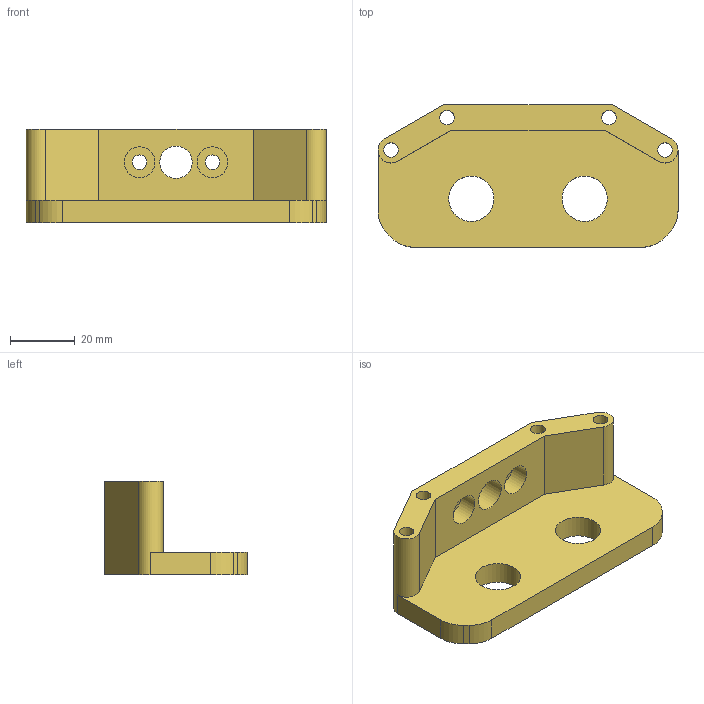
import cadquery as cq
import math


base_thickness = 7.0
front_edge_y = -40.0
corner_chamfer_length = 10.0
corner_radius = 10.0
large_hole_diameter = 14.0
large_hole_spacing = 35.0
large_hole_y = -25.0

total_height = 29.0
wall_thickness = 8.0
bend_x = 25.0
wing_length = 20.0
wing_angle = math.radians(30.0)
pin_hole_diameter = 4.5

wall_hole_z = 18.75
center_hole_diameter = 10.0
screw_spacing = 22.5
screw_hole_diameter = 4.5
counterbore_diameter = 9.5
counterbore_depth = 6.0

half_thickness = wall_thickness / 2
tip_x = bend_x + wing_length * math.cos(wing_angle)
tip_y = -wing_length * math.sin(wing_angle)
side_x = tip_x + half_thickness
miter_offset = half_thickness * math.tan(wing_angle / 2)
normal_x = half_thickness * math.sin(wing_angle)
normal_y = half_thickness * math.cos(wing_angle)
outer_bend_x = bend_x + miter_offset
inner_bend_x = bend_x - miter_offset
corner_chamfer = corner_chamfer_length / math.sqrt(2)


def make_wall():
    """Bent wall of constant thickness with fully rounded wing ends."""
    end_x = tip_x + half_thickness * math.cos(wing_angle)
    end_y = tip_y - half_thickness * math.sin(wing_angle)
    return (
        cq.Workplane("XY")
        .moveTo(-outer_bend_x, half_thickness)
        .lineTo(outer_bend_x, half_thickness)
        .lineTo(tip_x + normal_x, tip_y + normal_y)
        .threePointArc((end_x, end_y), (tip_x - normal_x, tip_y - normal_y))
        .lineTo(inner_bend_x, -half_thickness)
        .lineTo(-inner_bend_x, -half_thickness)
        .lineTo(-tip_x + normal_x, tip_y - normal_y)
        .threePointArc((-end_x, end_y), (-tip_x - normal_x, tip_y + normal_y))
        .close()
        .extrude(total_height)
    )


def make_base():
    """Plate reaching forward from the wall centreline, with rounded-off chamfers at the front corners."""
    plate = (
        cq.Workplane("XY")
        .polyline([
            (-bend_x, 0),
            (bend_x, 0),
            (tip_x, tip_y),
            (side_x, tip_y),
            (side_x, front_edge_y + corner_chamfer),
            (side_x - corner_chamfer, front_edge_y),
            (-side_x + corner_chamfer, front_edge_y),
            (-side_x, front_edge_y + corner_chamfer),
            (-side_x, tip_y),
            (-tip_x, tip_y),
        ])
        .close()
        .extrude(base_thickness)
    )
    selection_margin = 1.0
    front_corners = cq.selectors.BoxSelector(
        (-side_x - selection_margin, front_edge_y - selection_margin, -selection_margin),
        (
            side_x + selection_margin,
            front_edge_y + corner_chamfer + selection_margin,
            base_thickness + selection_margin,
        ),
    )
    return plate.edges("|Z").edges(front_corners).fillet(corner_radius)


def vertical_holes(points, diameter):
    """Cutters running along Z through the full height."""
    return cq.Workplane("XY").pushPoints(points).circle(diameter / 2).extrude(total_height)


def wall_holes(x_positions, diameter, depth):
    """Cutters entering the wall from its front face, running toward +Y."""
    points = [(x, wall_hole_z) for x in x_positions]
    return (
        cq.Workplane("XZ", origin=(0, -half_thickness, 0))
        .pushPoints(points)
        .circle(diameter / 2)
        .extrude(-depth)
    )


large_hole_points = [(side * large_hole_spacing / 2, large_hole_y) for side in (-1, 1)]
pin_points = [(side * x, y) for side in (-1, 1) for x, y in ((bend_x, 0), (tip_x, tip_y))]
screw_positions = [-screw_spacing / 2, screw_spacing / 2]

result = (
    make_wall()
    .union(make_base())
    .cut(vertical_holes(large_hole_points, large_hole_diameter))
    .cut(vertical_holes(pin_points, pin_hole_diameter))
    .cut(wall_holes([0], center_hole_diameter, wall_thickness))
    .cut(wall_holes(screw_positions, screw_hole_diameter, wall_thickness))
    .cut(wall_holes(screw_positions, counterbore_diameter, counterbore_depth))
)